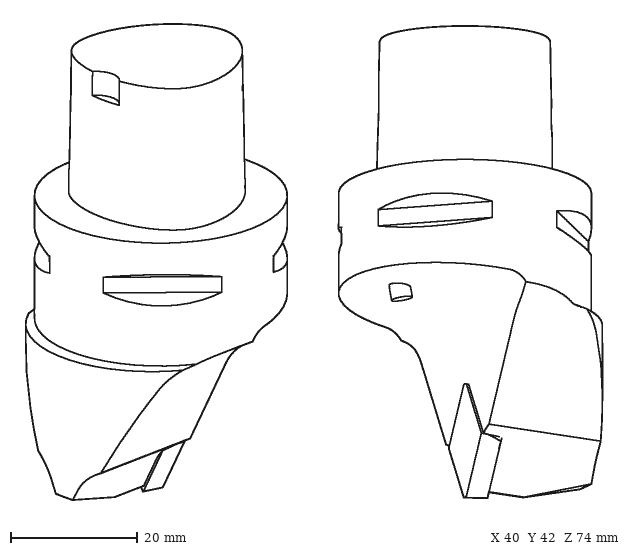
import cadquery as cq
import math


shank_height = 24.0
shank_base_radius = 14.0
shank_top_radius = 13.55
lobe_eccentricity = 0.85
key_notch_radius = 3.7
key_notch_depth = 4.1
key_notch_center_y = -14.7

flange_radius = 20.02
flange_bottom_z = -21.0
groove_floor_distance = 17.7
groove_center_z = -8.1
groove_floor_width = 2.7
groove_side_angle = 30.0

neck_offset = 2.0
neck_top_z = -21.4
neck_min_y = -neck_offset - flange_radius

half_point_angle = 27.5
flange_edge_z = -19.4
flank_top_z = -24.35
flank_top_half_width = 14.8
flank_bottom_z = -39.5
nose_top_z = -43.3
nose_apex_z = -48.8

rake_face_y = -0.45
relief_edge_z = -16.2
relief_angle = 5.0
relief_fillet = 4.0
nose_bottom_z = -48.5
nose_slope_start_y = -10.65
nose_back_z = -45.15

nozzle_diameter = 3.3
nozzle_tip_y = 11.5
nozzle_tip_z = -18.9
nozzle_tilt = 11.0
nozzle_length = 4.45

insert_center_z = -40.6
insert_half_length = 10.1
insert_thickness = 4.1
insert_clearance = 7.0
insert_nose_radius = 0.6

point_slope = math.tan(math.radians(half_point_angle))
overall_span = 4 * flange_radius


def polygon_wire(radius, z):
    """Three-lobed outline of constant width, with one lobe pointing to +Y."""

    def point(angle):
        toward_lobe = radius * math.cos(angle) + lobe_eccentricity * (
            2 * math.cos(2 * angle) - math.cos(4 * angle)
        )
        sideways = radius * math.sin(angle) - lobe_eccentricity * (
            2 * math.sin(2 * angle) + math.sin(4 * angle)
        )
        return cq.Vector(-sideways, toward_lobe, z)

    steps = 48
    points = [point(2 * math.pi * i / steps) for i in range(steps)]
    return cq.Wire.assembleEdges([cq.Edge.makeSpline(points, periodic=True)])


def make_shank():
    wires = [polygon_wire(shank_base_radius, 0), polygon_wire(shank_top_radius, shank_height)]
    shank = cq.Workplane(cq.Solid.makeLoft(wires, True))
    notch = (
        cq.Workplane("XY", origin=(0, key_notch_center_y, shank_height))
        .circle(key_notch_radius)
        .extrude(-key_notch_depth)
    )
    return shank.cut(notch)


def gripper_groove(direction):
    """Trapezoidal groove across the flange rim, facing the given angle about Z."""
    floor_half = groove_floor_width / 2
    reach = flange_radius - groove_floor_distance
    mouth_half = floor_half + reach * math.tan(math.radians(groove_side_angle))
    return (
        cq.Workplane("XZ")
        .polyline([
            (groove_floor_distance, groove_center_z - floor_half),
            (flange_radius, groove_center_z - mouth_half),
            (flange_radius, groove_center_z + mouth_half),
            (groove_floor_distance, groove_center_z + floor_half),
        ])
        .close()
        .extrude(flange_radius, both=True)
        .rotate((0, 0, 0), (0, 0, 1), direction)
    )


def make_blank():
    """Flange, slanted step and neck before the outlines are cut."""
    flange = cq.Workplane("XY").circle(flange_radius).extrude(flange_bottom_z)
    step = (
        cq.Workplane("XY", origin=(0, 0, flange_bottom_z))
        .circle(flange_radius)
        .workplane(offset=neck_top_z - flange_bottom_z)
        .center(0, -neck_offset)
        .circle(flange_radius)
        .loft(ruled=True)
    )
    neck = (
        cq.Workplane("XY", origin=(0, -neck_offset, neck_top_z))
        .circle(flange_radius)
        .extrude(nose_bottom_z - neck_top_z)
    )
    return flange.union(step).union(neck)


def flank_outline():
    """Prism along Y that tapers the holder from the flange down to its nose."""
    flank_bottom_half_width = flank_top_half_width - (flank_top_z - flank_bottom_z) * point_slope
    nose_top_half_width = (nose_top_z - nose_apex_z) * point_slope
    half = (
        cq.Workplane("XZ")
        .moveTo(0, nose_apex_z)
        .lineTo(nose_top_half_width, nose_top_z)
        .tangentArcPoint((flank_bottom_half_width, flank_bottom_z), relative=False)
        .lineTo(flank_top_half_width, flank_top_z)
        .tangentArcPoint((flange_radius, flange_edge_z), relative=False)
        .lineTo(flange_radius, 0)
        .lineTo(0, 0)
        .close()
        .extrude(overall_span, both=True)
    )
    return half.union(half.mirror("YZ"))


def side_outline():
    """Prism along X with the relieved flange underside, rake face and sloped nose."""
    relief_slope = math.tan(math.radians(relief_angle))
    corner_z = relief_edge_z - (flange_radius - rake_face_y) * relief_slope
    return (
        cq.Workplane("YZ")
        .polyline([
            (flange_radius, 0),
            (flange_radius, relief_edge_z),
            (rake_face_y, corner_z),
            (rake_face_y, nose_bottom_z),
            (nose_slope_start_y, nose_bottom_z),
            (neck_min_y, nose_back_z),
            (neck_min_y, 0),
        ])
        .close()
        .extrude(overall_span, both=True)
        .edges(cq.selectors.NearestToPointSelector((0, rake_face_y, corner_z)))
        .fillet(relief_fillet)
    )


def make_nozzle():
    """Coolant nozzle under the flange, tilted toward the cutting edge."""
    tilt = math.radians(nozzle_tilt)
    axis = cq.Vector(0, math.sin(tilt), math.cos(tilt))
    tip = cq.Vector(0, nozzle_tip_y, nozzle_tip_z)
    return cq.Workplane(cq.Solid.makeCylinder(nozzle_diameter / 2, nozzle_length, tip, axis))


def make_insert():
    """Rhombic insert with its rake face at Y = 0, narrowing toward -Y."""
    half_width = insert_half_length * point_slope
    corners = [
        (0, -insert_half_length),
        (half_width, 0),
        (0, insert_half_length),
        (-half_width, 0),
        (0, -insert_half_length),
    ]
    rhombus = cq.Sketch().polygon(corners).vertices(">Y or <Y").fillet(insert_nose_radius)
    return (
        cq.Workplane("XZ", origin=(0, 0, insert_center_z))
        .placeSketch(rhombus)
        .extrude(insert_thickness, taper=insert_clearance)
    )


def make_holder(insert):
    body = make_blank().intersect(flank_outline()).intersect(side_outline())
    for direction in (45, 135, 225, 315):
        body = body.cut(gripper_groove(direction))
    return body.union(make_shank()).union(make_nozzle()).cut(insert)


insert = make_insert()
holder = make_holder(insert)

result = cq.Compound.makeCompound([holder.solids().val(), insert.solids().val()])